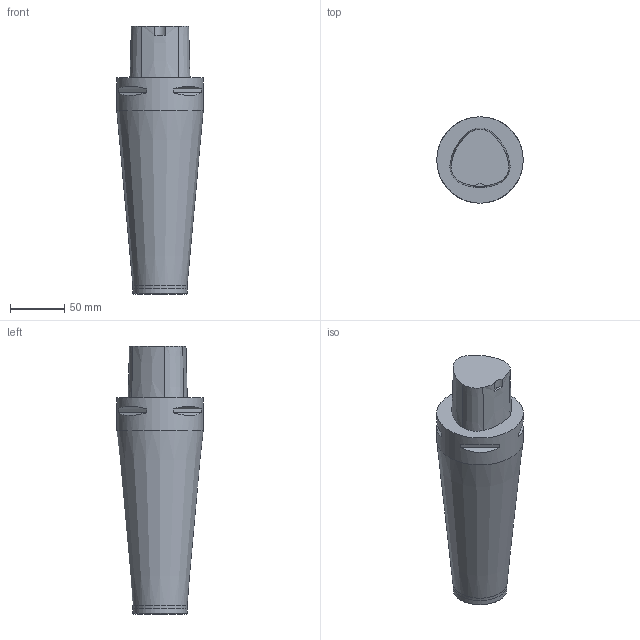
import cadquery as cq
import math

FLANGE_DIA = 80.0
FLANGE_HEIGHT = 30.5
BODY_LENGTH = 200.0
NOSE_DIA = 50.0
NOSE_HEIGHT = 5.0
BLEND_HEIGHT = 3.0
NOSE_CHAMFER = 0.5

SHANK_LENGTH = 48.0
SHANK_LOBE_REACH = 29.5
SHANK_SIDE_REACH = 25.5
SHANK_LOBE_RADIUS = 17.1
SHANK_TAPER = math.degrees(math.atan(1 / 40))
LOBE_COUNT = 3
FIRST_LOBE_ANGLE = 90.0

NOTCH_WIDTH = 10.0
NOTCH_DEPTH = 2.3
NOTCH_HEIGHT = 8.5

GROOVE_COUNT = 4
FIRST_GROOVE_ANGLE = 45.0
GROOVE_FLOOR_OFFSET = 35.5
GROOVE_FLOOR_HEIGHT = 3.5
GROOVE_FLANK_ANGLE = 30.0
GROOVE_CENTER_Z = -12.0


def polar(radius, degrees):
    angle = math.radians(degrees)
    return (radius * math.cos(angle), radius * math.sin(angle))


def make_body():
    flange_radius = FLANGE_DIA / 2
    nose_radius = NOSE_DIA / 2
    nose_top = NOSE_HEIGHT - BODY_LENGTH
    blend_top = nose_top + BLEND_HEIGHT

    corner_z = (blend_top + nose_top) / 2
    cone_slope = (flange_radius - nose_radius) / (-FLANGE_HEIGHT - corner_z)
    blend_top_radius = nose_radius + cone_slope * (blend_top - corner_z)

    profile = (
        cq.Workplane("XZ")
        .lineTo(flange_radius, 0)
        .lineTo(flange_radius, -FLANGE_HEIGHT)
        .lineTo(blend_top_radius, blend_top)
        .tangentArcPoint((nose_radius, nose_top), relative=False)
        .lineTo(nose_radius, NOSE_CHAMFER - BODY_LENGTH)
        .lineTo(nose_radius - NOSE_CHAMFER, -BODY_LENGTH)
        .lineTo(0, -BODY_LENGTH)
        .close()
    )
    return profile.revolve(360, (0, 0), (0, 1))


def make_shank():
    lobe_center = SHANK_LOBE_REACH - SHANK_LOBE_RADIUS
    gap = SHANK_SIDE_REACH - SHANK_LOBE_RADIUS
    side_center = (lobe_center**2 - gap**2) / (2 * gap - lobe_center)
    pitch = 360 / LOBE_COUNT

    half_pitch = math.radians(pitch / 2)
    along = lobe_center + side_center * math.cos(half_pitch)
    across = side_center * math.sin(half_pitch)
    tangent_angle = math.atan2(across, along)

    joint_along = lobe_center + SHANK_LOBE_RADIUS * math.cos(tangent_angle)
    joint_across = SHANK_LOBE_RADIUS * math.sin(tangent_angle)
    joint_radius = math.hypot(joint_along, joint_across)
    joint_angle = math.degrees(math.atan2(joint_across, joint_along))

    outline = cq.Workplane("XY").moveTo(*polar(joint_radius, FIRST_LOBE_ANGLE - joint_angle))
    for index in range(LOBE_COUNT):
        lobe = FIRST_LOBE_ANGLE + index * pitch
        outline = outline.threePointArc(
            polar(SHANK_LOBE_REACH, lobe),
            polar(joint_radius, lobe + joint_angle),
        )
        outline = outline.threePointArc(
            polar(SHANK_SIDE_REACH, lobe + pitch / 2),
            polar(joint_radius, lobe + pitch - joint_angle),
        )
    return outline.close().extrude(SHANK_LENGTH, taper=SHANK_TAPER)


def make_notch():
    top_side_reach = SHANK_SIDE_REACH - SHANK_LENGTH * math.tan(math.radians(SHANK_TAPER))
    half_width = NOTCH_WIDTH / 2
    radius = (half_width**2 + NOTCH_DEPTH**2) / (2 * NOTCH_DEPTH)
    center_y = NOTCH_DEPTH - top_side_reach - radius
    return (
        cq.Workplane("XY", origin=(0, center_y, SHANK_LENGTH - NOTCH_HEIGHT))
        .circle(radius)
        .extrude(NOTCH_HEIGHT)
    )


def make_groove(angle):
    half_floor = GROOVE_FLOOR_HEIGHT / 2
    flange_radius = FLANGE_DIA / 2
    flare = (flange_radius - GROOVE_FLOOR_OFFSET) * math.tan(math.radians(GROOVE_FLANK_ANGLE))
    section = [
        (GROOVE_FLOOR_OFFSET, GROOVE_CENTER_Z - half_floor),
        (flange_radius, GROOVE_CENTER_Z - half_floor - flare),
        (flange_radius, GROOVE_CENTER_Z + half_floor + flare),
        (GROOVE_FLOOR_OFFSET, GROOVE_CENTER_Z + half_floor),
    ]
    groove = cq.Workplane("XZ").polyline(section).close().extrude(flange_radius, both=True)
    return groove.rotate((0, 0, 0), (0, 0, 1), angle)


result = make_body().union(make_shank()).cut(make_notch())
for groove_index in range(GROOVE_COUNT):
    groove_angle = FIRST_GROOVE_ANGLE + groove_index * 360 / GROOVE_COUNT
    result = result.cut(make_groove(groove_angle))